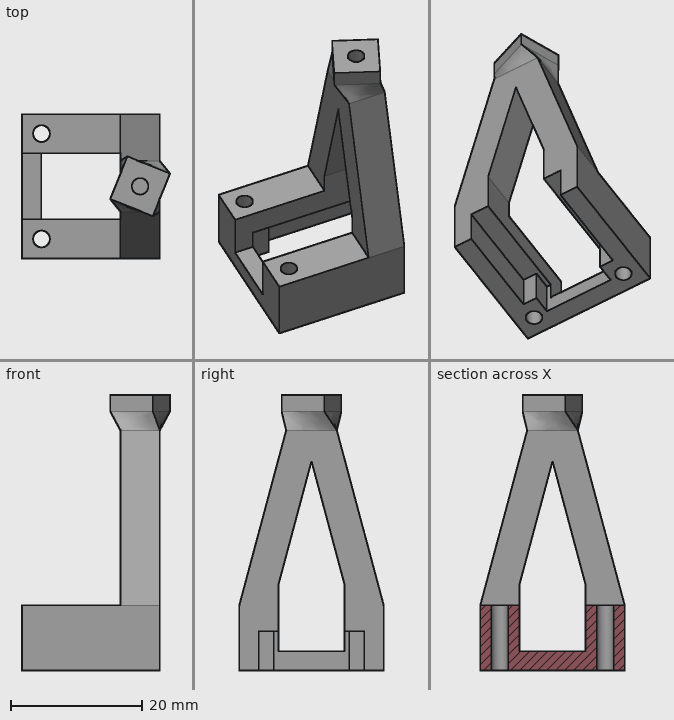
import cadquery as cq
import math

base_length = 21.0
base_width = 22.0
base_height = 10.0
arm_width = 6.0
crossbar_size = 3.0
gap_width = base_width - 2 * arm_width

outer_wall = 3.0
pocket_height = 6.0
boss_end = 6.0
boss_setback = 0.7
hole_diameter = 2.5
hole_inset = 3.0

leg_depth = 6.0
leg_angle = 15.0
leg_gap_start = 13.2
leg_top = 36.6
leg_slope = math.tan(math.radians(leg_angle))
leg_top_width = base_width - 2 * (leg_top - base_height) * leg_slope
leg_gap_top = leg_gap_start + gap_width / 2 / leg_slope
leg_center_x = base_length - leg_depth / 2

head_side = 7.0
head_height = 2.5
head_angle = -22.0
total_height = 42.0
head_bottom = total_height - head_height


def block(x_start, x_end, y_start, y_end, z_start, z_end):
    """Box between the given limits."""
    size = (x_end - x_start, y_end - y_start, z_end - z_start)
    return cq.Workplane("XY").box(*size, centered=False).translate((x_start, y_start, z_start))


def make_base():
    half_width = base_width / 2
    half_gap = gap_width / 2
    base = block(0, base_length, -half_width, half_width, 0, base_height)
    base = base.cut(block(0, base_length, -half_gap, half_gap, crossbar_size, base_height))
    base = base.cut(block(crossbar_size, base_length, -half_gap, half_gap, 0, base_height))

    half_boss_gap = half_gap + boss_setback
    half_pocket = half_width - outer_wall
    base = base.cut(block(crossbar_size, base_length, -half_boss_gap, half_boss_gap, 0, pocket_height))
    base = base.cut(block(boss_end, base_length, -half_pocket, half_pocket, 0, pocket_height))

    hole_y = half_width - hole_inset
    holes = (
        cq.Workplane("XY")
        .pushPoints([(hole_inset, -hole_y), (hole_inset, hole_y)])
        .circle(hole_diameter / 2)
        .extrude(base_height)
    )
    return base.cut(holes)


def make_legs():
    """A-shaped frame: trapezoid with a pointed opening."""
    profile = cq.Workplane("YZ", origin=(base_length - leg_depth, 0, 0))
    legs = profile.polyline([
        (-base_width / 2, base_height),
        (-leg_top_width / 2, leg_top),
        (leg_top_width / 2, leg_top),
        (base_width / 2, base_height),
    ]).close().extrude(leg_depth)
    opening = profile.polyline([
        (-gap_width / 2, base_height),
        (-gap_width / 2, leg_gap_start),
        (0, leg_gap_top),
        (gap_width / 2, leg_gap_start),
        (gap_width / 2, base_height),
    ]).close().extrude(leg_depth)
    return legs.cut(opening)


def make_neck():
    """Twisted transition from the top of the legs to the turned head."""
    return (
        cq.Workplane("XY", origin=(leg_center_x, 0, leg_top))
        .rect(leg_depth, leg_top_width)
        .workplane(offset=head_bottom - leg_top)
        .transformed(rotate=(0, 0, head_angle))
        .rect(head_side, head_side)
        .loft(ruled=True)
    )


def make_head():
    return (
        cq.Workplane("XY", origin=(leg_center_x, 0, head_bottom))
        .transformed(rotate=(0, 0, head_angle))
        .rect(head_side, head_side)
        .extrude(head_height)
        .faces(">Z")
        .workplane()
        .hole(hole_diameter, head_height)
    )


result = make_base().union(make_legs()).union(make_neck()).union(make_head())